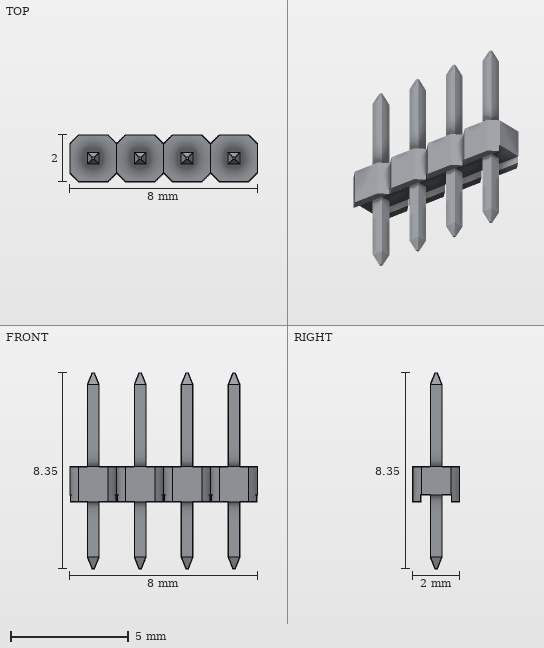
import cadquery as cq

CELL_COUNT = 4
ROW_LENGTH = 8.0
PITCH = ROW_LENGTH / CELL_COUNT

BLOCK_HEIGHT = 1.5
CORNER_CHAMFER = 0.375
GROOVE_WIDTH = 1.295
GROOVE_DEPTH = 0.3

PIN_LENGTH = 8.35
PIN_WIDTH = 0.5
PIN_ABOVE_BLOCK = 4.0
TIP_LENGTH = 0.5
TIP_FLAT = 0.1

PIN_TOP = BLOCK_HEIGHT + PIN_ABOVE_BLOCK
PIN_BOTTOM = PIN_TOP - PIN_LENGTH


def make_block():
    """Square block with chamfered upright corners and a groove along X in its underside."""
    block = (
        cq.Workplane("XY")
        .rect(PITCH, PITCH)
        .extrude(BLOCK_HEIGHT)
        .edges("|Z")
        .chamfer(CORNER_CHAMFER)
    )
    groove = cq.Workplane("XY").rect(PITCH, GROOVE_WIDTH).extrude(GROOVE_DEPTH)
    return block.cut(groove)


def make_tip(base_height, direction):
    """Blunt pyramid tip that starts at base_height and points up (+1) or down (-1)."""
    return (
        cq.Workplane("XY", origin=(0, 0, base_height))
        .rect(PIN_WIDTH, PIN_WIDTH)
        .workplane(offset=direction * TIP_LENGTH)
        .rect(TIP_FLAT, TIP_FLAT)
        .loft(ruled=True)
    )


def make_pin():
    """Square pin with a tip at each end."""
    shank_bottom = PIN_BOTTOM + TIP_LENGTH
    shank_top = PIN_TOP - TIP_LENGTH
    shank = (
        cq.Workplane("XY", origin=(0, 0, shank_bottom))
        .rect(PIN_WIDTH, PIN_WIDTH)
        .extrude(shank_top - shank_bottom)
    )
    return shank.union(make_tip(shank_top, 1)).union(make_tip(shank_bottom, -1))


def make_cell(x_center):
    """One header cell: block and pin as a single solid, centred at x_center."""
    return make_block().union(make_pin()).translate((x_center, 0, 0))


first_cell_x = -PITCH * (CELL_COUNT - 1) / 2
cells = [make_cell(first_cell_x + index * PITCH) for index in range(CELL_COUNT)]

result = cq.Compound.makeCompound([cell.val() for cell in cells])